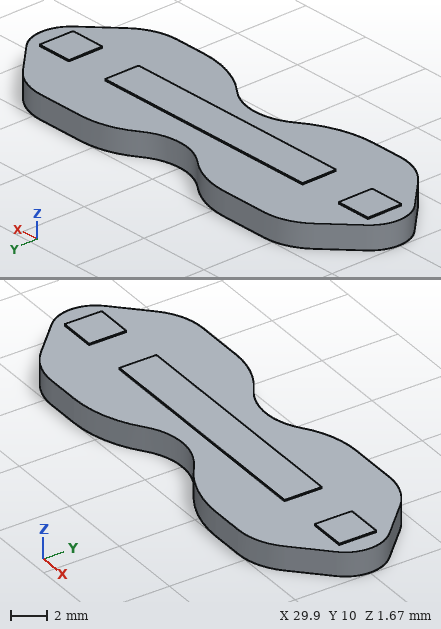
import cadquery as cq
import math

length = 29.9
width = 10.0
total_height = 1.67
pad_thickness = 0.1
plate_thickness = total_height - pad_thickness

half_length = length / 2
half_width = width / 2
tip_radius = 2.48
shoulder_radius = 4.0
notch_radius = 4.0
front_waist = 2.55
front_blend_radius = 7.5
back_waist = 3.0
back_blend_radius = 6.0

pad_width = 2.45
bar_length = 16.5
end_pad_offset = 12.5


def point_on_arc(center, radius, angle):
    """Point of a circle at an angle in degrees, measured from +X."""
    turn = math.radians(angle)
    return center[0] + radius * math.cos(turn), center[1] + radius * math.sin(turn)


def mirrored(point, x_sign, y_sign):
    return x_sign * point[0], y_sign * point[1]


tip_center = (half_length - tip_radius, 0)
shoulder_center_y = half_width - shoulder_radius
flank_reach = tip_center[0] + tip_radius * math.sqrt(2)
shoulder_center = (flank_reach - shoulder_radius * math.sqrt(2) - shoulder_center_y, shoulder_center_y)
tip_end = point_on_arc(tip_center, tip_radius, 45)
shoulder_start = point_on_arc(shoulder_center, shoulder_radius, 45)
shoulder_mid = point_on_arc(shoulder_center, shoulder_radius, 67.5)
shoulder_end = point_on_arc(shoulder_center, shoulder_radius, 90)


def add_notch(outline, waist, blend_radius, x_sign, y_sign):
    """Add a waist notch, running from the x_sign side to the other side."""
    radius_sum = blend_radius + notch_radius
    turn = math.degrees(math.acos(1 - (half_width - waist) / radius_sum))
    blend_center = (radius_sum * math.sin(math.radians(turn)), half_width - blend_radius)
    blend_start = (blend_center[0], half_width)
    blend_mid = point_on_arc(blend_center, blend_radius, 90 + turn / 2)
    blend_end = point_on_arc(blend_center, blend_radius, 90 + turn)
    return (
        outline.lineTo(*mirrored(blend_start, x_sign, y_sign))
        .threePointArc(mirrored(blend_mid, x_sign, y_sign), mirrored(blend_end, x_sign, y_sign))
        .threePointArc((0, y_sign * waist), mirrored(blend_end, -x_sign, y_sign))
        .threePointArc(mirrored(blend_mid, -x_sign, y_sign), mirrored(blend_start, -x_sign, y_sign))
    )


def add_end(outline, x_sign, y_sign):
    """Add one rounded end, running from the y_sign side to the other side."""
    return (
        outline.lineTo(*mirrored(shoulder_end, x_sign, y_sign))
        .threePointArc(mirrored(shoulder_mid, x_sign, y_sign), mirrored(shoulder_start, x_sign, y_sign))
        .lineTo(*mirrored(tip_end, x_sign, y_sign))
        .threePointArc((x_sign * half_length, 0), mirrored(tip_end, x_sign, -y_sign))
        .lineTo(*mirrored(shoulder_start, x_sign, -y_sign))
        .threePointArc(mirrored(shoulder_mid, x_sign, -y_sign), mirrored(shoulder_end, x_sign, -y_sign))
    )


def make_plate():
    outline = cq.Workplane("XY").moveTo(*mirrored(shoulder_end, 1, 1))
    outline = add_notch(outline, back_waist, back_blend_radius, 1, 1)
    outline = add_end(outline, -1, 1)
    outline = add_notch(outline, front_waist, front_blend_radius, -1, -1)
    outline = add_end(outline, 1, -1)
    return outline.close().extrude(plate_thickness)


def make_pad(pad_length, center_x):
    """Thin rectangular pad lying on the top face of the plate."""
    return (
        cq.Workplane("XY", origin=(center_x, 0, plate_thickness))
        .rect(pad_length, pad_width)
        .extrude(pad_thickness)
    )


plate = make_plate()
center_bar = make_pad(bar_length, 0)
end_pads = [make_pad(pad_width, side * end_pad_offset) for side in (-1, 1)]

result = cq.Compound.makeCompound([plate.val(), center_bar.val(), *[pad.val() for pad in end_pads]])